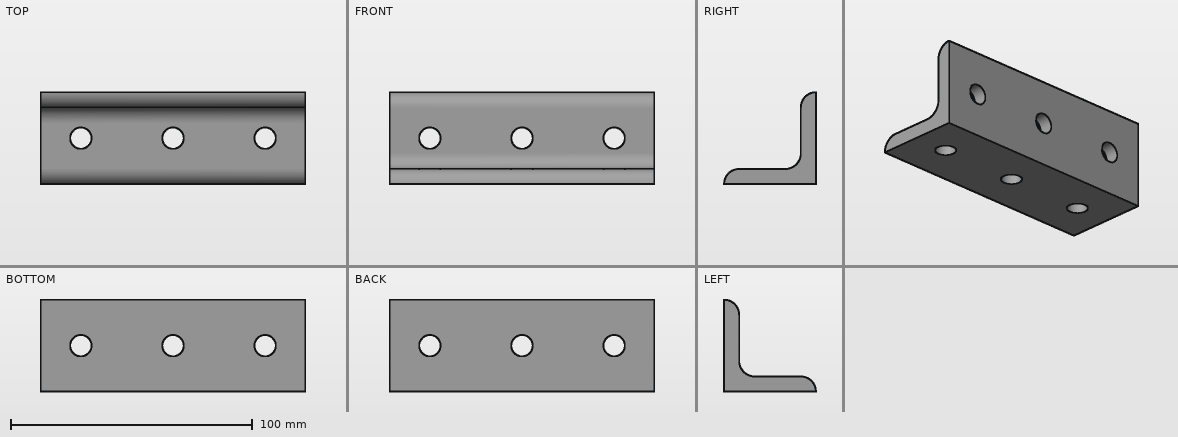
import cadquery as cq

length = 109.5
leg = 38.1
thickness = 6.3
root_radius = thickness
hole_diameter = 8.8
hole_pitch = leg
hole_count = 3

toe_radius = thickness
inner_y = leg - thickness
hole_center = leg / 2
first_hole_x = (length - (hole_count - 1) * hole_pitch) / 2


def angle_bar():
    """Equal-leg angle with rounded toes and a rounded inside corner."""
    return (
        cq.Workplane("YZ")
        .lineTo(leg, 0)
        .lineTo(leg, leg)
        .radiusArc((inner_y, leg - toe_radius), -toe_radius)
        .lineTo(inner_y, thickness + root_radius)
        .radiusArc((inner_y - root_radius, thickness), root_radius)
        .lineTo(toe_radius, thickness)
        .radiusArc((0, 0), -toe_radius)
        .close()
        .extrude(length)
    )


def hole_row(plane, depth):
    """Row of cylinders along X, extruded from a plane through the origin."""
    centers = [(first_hole_x + i * hole_pitch, hole_center) for i in range(hole_count)]
    return cq.Workplane(plane).pushPoints(centers).circle(hole_diameter / 2).extrude(depth)


flat_leg_holes = hole_row("XY", thickness)
upright_leg_holes = hole_row("XZ", -leg)

result = angle_bar().cut(flat_leg_holes).cut(upright_leg_holes)